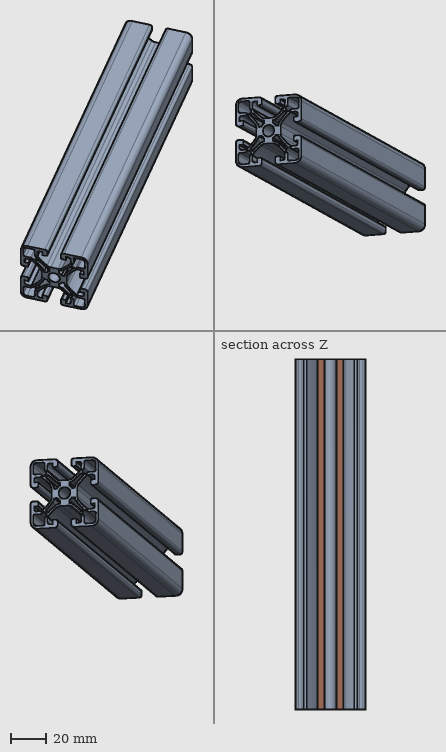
import cadquery as cq
import math

LENGTH = 200.0
WIDTH = 40.0
CORNER_RADIUS = 4.0

SLOT_MOUTH = 8.0
SLOT_DEPTH = 12.5
SLOT_CAVITY_WIDTH = 20.0
SLOT_FLOOR_WIDTH = 4.2
CAVITY_CORNER_RADIUS = 1.5
FACE_THICKNESS = 2.2

LIP_THICKNESS = 3.0
LIP_DEPTH = 4.5
LIP_OUTER_RADIUS = 1.7
LIP_INNER_RADIUS = 1.0

FLOOR_BEND_RADIUS = 3.8
FLOOR_BEND_ANGLE = 37.0
SIDE_END_ANGLE = 51.0

POCKET_WALL = 1.5
POCKET_SMALL_RADIUS = 1.2
POCKET_FAR_RADIUS = 2.0
NOSE_REACH = 15.8
NOSE_WIDTH = 2.8
NOSE_START = 14.0
NOSE_RADIUS = 0.8
NOSE_BEND_RADIUS = 0.8

WEB_WALL = 1.5
WINDOW_END_WALL = 1.2

BORE_DIAMETER = 6.8
CORE_DIAMETER = 10.5
CORE_ARM_WIDTH = 5.5

HALF = WIDTH / 2
FLOOR = HALF - SLOT_DEPTH
CAVITY_HALF = SLOT_CAVITY_WIDTH / 2
POCKET_NEAR = CAVITY_HALF + POCKET_WALL


def mirrored(corners):
    """Reflect a chain of (x, z, radius) corners about the x = z diagonal, in reverse order."""
    return [(z, x, radius) for x, z, radius in reversed(corners)]


def rounded_prism(corners):
    """Extrude a closed outline of (x, z, radius) corners; radius 0 leaves a corner sharp."""
    points = [cq.Vector(x, z) for x, z, _ in corners]
    rounds = []
    for i, point in enumerate(points):
        radius = corners[i][2]
        to_previous = (points[i - 1] - point).normalized()
        to_next = (points[(i + 1) % len(points)] - point).normalized()
        half_angle = to_previous.getAngle(to_next) / 2
        setback = radius / math.tan(half_angle)
        reach = radius / math.sin(half_angle) - radius
        start = point + to_previous * setback
        middle = point + (to_previous + to_next).normalized() * reach
        end = point + to_next * setback
        rounds.append((radius, start, middle, end))

    tolerance = 2e-06
    position = rounds[-1][3]
    outline = cq.Workplane("XZ").moveTo(position.x, position.y)
    for radius, start, middle, end in rounds:
        if (start - position).Length > tolerance:
            outline = outline.lineTo(start.x, start.y)
        if radius > 0:
            outline = outline.threePointArc((middle.x, middle.y), (end.x, end.y))
        position = end
    return outline.close().extrude(LENGTH / 2, both=True)


def cylinder(diameter):
    """Full-length cylinder along the Y axis."""
    return cq.Workplane("XZ").circle(diameter / 2).extrude(LENGTH / 2, both=True)


def curved_side(wall):
    """Corners of the slot's curved side, moved into the metal by the given wall thickness."""
    first = math.radians(FLOOR_BEND_ANGLE)
    last = math.radians(SIDE_END_ANGLE)
    half_turn = (last - first) / 2
    floor_tangent = FLOOR_BEND_RADIUS * math.tan(first / 2)
    bend_end = SLOT_FLOOR_WIDTH / 2 + floor_tangent * (1 + math.cos(first))
    side_tangent = (CAVITY_HALF - bend_end) / (math.cos(first) + math.cos(last))
    floor_radius = FLOOR_BEND_RADIUS + wall
    side_radius = side_tangent / math.tan(half_turn) + wall

    floor_tangent = floor_radius * math.tan(first / 2)
    side_tangent = side_radius * math.tan(half_turn)
    bend_x = SLOT_FLOOR_WIDTH / 2 + floor_tangent
    bend_z = FLOOR - wall
    side_x = bend_x + (floor_tangent + side_tangent) * math.cos(first)
    side_z = bend_z + (floor_tangent + side_tangent) * math.sin(first)
    end_x = side_x + side_tangent * math.cos(last)
    end_z = side_z + side_tangent * math.sin(last)
    return [(bend_x, bend_z, floor_radius), (side_x, side_z, side_radius), (end_x, end_z, 0)]


def body():
    """Solid extrusion with a T-slot in each side."""
    half_mouth = SLOT_MOUTH / 2
    lip_back = half_mouth + LIP_THICKNESS
    lip_end = HALF - LIP_DEPTH
    cavity_top = HALF - FACE_THICKNESS
    half_slot = curved_side(wall=0) + [
        (CAVITY_HALF, cavity_top, CAVITY_CORNER_RADIUS),
        (lip_back, cavity_top, 0),
        (lip_back, lip_end, 0),
        (half_mouth, lip_end, LIP_INNER_RADIUS),
        (half_mouth, HALF, LIP_OUTER_RADIUS),
    ]
    quarter = half_slot + [(HALF, HALF, CORNER_RADIUS)] + mirrored(half_slot)
    outline = []
    for _ in range(4):
        outline += quarter
        quarter = [(z, -x, radius) for x, z, radius in quarter]
    return rounded_prism(outline)


def corner_pocket():
    """Hollow of the +X +Z corner."""
    far = HALF - POCKET_WALL
    nose_near = (NOSE_REACH - NOSE_WIDTH / 2) / math.sqrt(2)
    nose_far = (NOSE_REACH + NOSE_WIDTH / 2) / math.sqrt(2)
    half_pocket = [
        (nose_near, nose_far, NOSE_RADIUS),
        (POCKET_NEAR, NOSE_START, NOSE_BEND_RADIUS),
        (POCKET_NEAR, far, POCKET_SMALL_RADIUS),
    ]
    return rounded_prism(half_pocket + [(far, far, POCKET_FAR_RADIUS)] + mirrored(half_pocket))


def web_window():
    """Hollow in the diagonal web of the +X +Z corner."""
    side = [(0, FLOOR - WEB_WALL, 0)] + curved_side(WEB_WALL)
    between_walls = rounded_prism([(0, 0, 0)] + side + mirrored(side))
    arm = CORE_ARM_WIDTH / 2
    tip = (NOSE_REACH - WINDOW_END_WALL) * math.sqrt(2) - arm
    limits = rounded_prism([(arm, arm, 0), (arm, tip, 0), (tip, arm, 0)])
    return between_walls.intersect(limits).cut(cylinder(CORE_DIAMETER))


result = body().cut(cylinder(BORE_DIAMETER))
for quarter_turn in range(4):
    for hollow in (corner_pocket(), web_window()):
        result = result.cut(hollow.rotate((0, 0, 0), (0, 1, 0), 90 * quarter_turn))